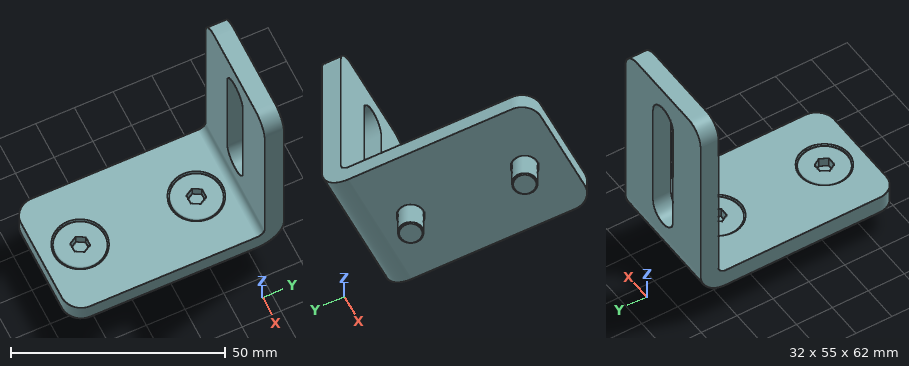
import cadquery as cq

width = 32.0
foot_length = 55.0
wall_height = 55.0
thickness = 5.0
inner_bend_radius = 2.0
outer_bend_radius = inner_bend_radius + thickness
corner_radius = 5.0

slot_width = 8.5
slot_travel = 30.0
slot_center_height = 30.0

screw_distances_from_back = (15.0, 45.0)
clearance_diameter = 6.6
countersink_diameter = 13.5
countersink_depth = (countersink_diameter - clearance_diameter) / 2

shank_diameter = 6.0
head_diameter = 12.7
rim_radius = (countersink_diameter - head_diameter) / 2
head_height = (countersink_diameter - shank_diameter) / 2
screw_length = 12.0
tip_chamfer = 0.3
socket_across_flats = 4.0
socket_depth = 2.5
socket_turn = 30.0


def make_blank():
    """L-shaped bent plate with rounded free corners."""
    blank = (
        cq.Workplane("YZ")
        .polyline([
            (0, 0),
            (-foot_length, 0),
            (-foot_length, thickness),
            (-thickness, thickness),
            (-thickness, wall_height),
            (0, wall_height),
        ])
        .close()
        .extrude(width / 2, both=True)
    )
    outer_bend_edge = cq.selectors.NearestToPointSelector((0, 0, 0))
    inner_bend_edge = cq.selectors.NearestToPointSelector((0, -thickness, thickness))
    blank = blank.edges("|X").edges(outer_bend_edge).fillet(outer_bend_radius)
    blank = blank.edges("|X").edges(inner_bend_edge).fillet(inner_bend_radius)
    blank = blank.faces("<Y").edges("|Z").fillet(corner_radius)
    return blank.faces(">Z").edges("|Y").fillet(corner_radius)


def make_slot():
    """Vertical round-ended slot cutter through the wall."""
    return (
        cq.Workplane("XZ")
        .center(0, slot_center_height)
        .slot2D(slot_travel + slot_width, slot_width, angle=90)
        .extrude(thickness)
    )


def make_screw_hole(distance_from_back):
    """Clearance hole with a countersink opening at the top of the foot."""
    return (
        cq.Workplane("XZ", origin=(0, -distance_from_back, 0))
        .polyline([
            (0, 0),
            (clearance_diameter / 2, 0),
            (clearance_diameter / 2, thickness - countersink_depth),
            (countersink_diameter / 2, thickness),
            (0, thickness),
        ])
        .close()
        .revolve(360, (0, 0), (0, 1))
    )


def make_bracket():
    bracket = make_blank().cut(make_slot())
    for distance in screw_distances_from_back:
        bracket = bracket.cut(make_screw_hole(distance))
    return bracket


def make_screw(distance_from_back):
    """Countersunk screw with a hexagon socket, a rounded rim and a chamfered tip."""
    tip = thickness - screw_length
    shank_radius = shank_diameter / 2
    head_radius = head_diameter / 2
    body = (
        cq.Workplane("XZ", origin=(0, -distance_from_back, 0))
        .moveTo(0, tip)
        .lineTo(shank_radius - tip_chamfer, tip)
        .lineTo(shank_radius, tip + tip_chamfer)
        .lineTo(shank_radius, thickness - head_height)
        .lineTo(head_radius, thickness - rim_radius)
        .radiusArc((head_radius - rim_radius, thickness), -rim_radius)
        .lineTo(0, thickness)
        .close()
        .revolve(360, (0, 0), (0, 1))
    )
    socket = (
        cq.Workplane("XY", origin=(0, -distance_from_back, thickness))
        .transformed(rotate=(0, 0, socket_turn))
        .polygon(6, socket_across_flats, circumscribed=True)
        .extrude(-socket_depth)
    )
    return body.cut(socket)


bracket = make_bracket()
screws = [make_screw(distance) for distance in screw_distances_from_back]

result = cq.Compound.makeCompound([bracket.val(), *[screw.val() for screw in screws]])